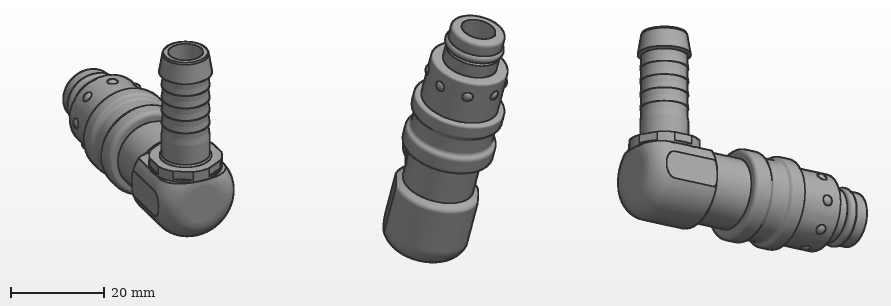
import cadquery as cq
import math

bore_dia = 7.5
nose_dia = 11.95
nose_round = 0.85
groove_dia = 9.0
groove_start = 3.0
groove_end = 5.45
sleeve_dia = 16.95
sleeve_start = 8.5
sleeve_round = 0.55
rib_dia = 20.0
neck_dia = 18.0
rib_round = 0.55
front_rib_start = 18.5
front_rib_land_end = 21.2
neck_start = 22.95
neck_end = 25.95
rear_rib_land_start = 27.7
rear_rib_end = 31.1
rear_rib_round = 1.0
shank_dia = 15.6

ring_section_dia = 1.95

ball_count = 8
ball_x = 12.05
ball_radius = 1.45
ball_height = 0.5
ball_turn = -2.0

elbow_start = 39.75
elbow_end = 56.3
elbow_radius = 9.5
elbow_width = 18.0
elbow_top = 5.65
elbow_end_round = 5.05
elbow_cone_length = 0.75
elbow_lead_length = 1.5
bore_end = elbow_start
floor_wall = 0.55
drill_point_angle = 118.0

tail_x = 48.25
overall_height = 43.2
tail_top = overall_height - rib_dia / 2
collar_dia = 15.7
collar_height = 2.5
hex_across_flats = 15.1
collar_rim_height = 0.55
hex_start = elbow_top + collar_rim_height
stem_dia = 10.4
stem_flare = 0.4
barb_dia = 10.0
barb_pitch = 3.05
barb_count = 5
first_barb_edge = 25.2
head_dia = 11.5
head_edge = 28.45
head_bottom = 28.05
tip_chamfer = 0.4
tip_chamfer_depth = 0.2


def rounded_step(profile, x_start, r_start, x_end, r_end):
    """Join two cylinder radii by an S of two equal arcs, tangent to both cylinders."""
    middle = ((x_start + x_end) / 2, (r_start + r_end) / 2)
    return profile.tangentArcPoint(middle, relative=False).tangentArcPoint((x_end, r_end), relative=False)


def make_coupling():
    nose_r = nose_dia / 2
    sleeve_r = sleeve_dia / 2
    rib_r = rib_dia / 2
    neck_r = neck_dia / 2
    profile = (
        cq.Workplane("XY")
        .lineTo(0, nose_r - nose_round)
        .radiusArc((nose_round, nose_r), nose_round)
        .lineTo(groove_start, nose_r)
        .lineTo(groove_start, groove_dia / 2)
        .lineTo(groove_end, groove_dia / 2)
        .lineTo(groove_end, nose_r)
        .lineTo(sleeve_start, nose_r)
        .lineTo(sleeve_start, sleeve_r - sleeve_round)
        .radiusArc((sleeve_start + sleeve_round, sleeve_r), sleeve_round)
        .lineTo(front_rib_start, sleeve_r)
        .lineTo(front_rib_start, rib_r - rib_round)
        .radiusArc((front_rib_start + rib_round, rib_r), rib_round)
        .lineTo(front_rib_land_end, rib_r)
    )
    profile = rounded_step(profile, front_rib_land_end, rib_r, neck_start, neck_r)
    profile = profile.lineTo(neck_end, neck_r)
    profile = rounded_step(profile, neck_end, neck_r, rear_rib_land_start, rib_r)
    return (
        profile
        .lineTo(rear_rib_end - rear_rib_round, rib_r)
        .radiusArc((rear_rib_end, rib_r - rear_rib_round), rear_rib_round)
        .lineTo(rear_rib_end, shank_dia / 2)
        .lineTo(elbow_start, shank_dia / 2)
        .lineTo(elbow_start, 0)
        .close()
        .revolve(360, (0, 0, 0), (1, 0, 0))
    )


def make_balls():
    centre_radius = sleeve_dia / 2 + ball_height - ball_radius
    balls = cq.Workplane("XY")
    for i in range(ball_count):
        angle = math.radians(ball_turn + 360 * i / ball_count)
        centre = (ball_x, centre_radius * math.cos(angle), centre_radius * math.sin(angle))
        balls = balls.union(cq.Workplane("XY").sphere(ball_radius).translate(centre))
    return balls


def make_elbow():
    """Round block with a domed end, flattened on both sides and on top."""
    block = (
        cq.Workplane("XY")
        .moveTo(elbow_start, 0)
        .lineTo(elbow_start, shank_dia / 2)
        .lineTo(elbow_start + elbow_cone_length, elbow_width / 2)
        .tangentArcPoint((elbow_start + elbow_lead_length, elbow_radius), relative=False)
        .lineTo(elbow_end - elbow_end_round, elbow_radius)
        .radiusArc((elbow_end, elbow_radius - elbow_end_round), elbow_end_round)
        .lineTo(elbow_end, 0)
        .close()
        .revolve(360, (0, 0, 0), (1, 0, 0))
    )
    envelope = (
        cq.Workplane("XY", origin=(0, 0, -elbow_radius))
        .rect(2 * elbow_end, elbow_width)
        .extrude(elbow_radius + elbow_top)
    )
    return block.intersect(envelope)


def make_collar():
    """Round collar whose upper part carries six flats."""
    collar = cq.Workplane("XY", origin=(tail_x, 0, elbow_top)).circle(collar_dia / 2).extrude(collar_height)
    hex_height = elbow_top + collar_height - hex_start
    hex_corners_dia = hex_across_flats / math.cos(math.pi / 6)
    flats = (
        cq.Workplane("XY", origin=(tail_x, 0, hex_start))
        .circle(collar_dia)
        .polygon(6, hex_corners_dia)
        .extrude(hex_height)
    )
    return collar.cut(flats)


def make_tail():
    """Barbed stem with a tapered head, turned about the vertical tail axis."""
    stem_r = stem_dia / 2
    barb_r = barb_dia / 2
    collar_top = elbow_top + collar_height
    profile = (
        cq.Workplane("XZ", origin=(tail_x, 0, 0))
        .moveTo(0, elbow_top)
        .lineTo(stem_r + stem_flare, elbow_top)
        .lineTo(stem_r + stem_flare, collar_top)
        .lineTo(stem_r, collar_top + stem_flare)
    )
    for i in reversed(range(barb_count)):
        edge = first_barb_edge - i * barb_pitch
        profile = profile.lineTo(stem_r, edge).lineTo(barb_r, edge + barb_pitch / 2)
        if i > 0:
            profile = profile.lineTo(barb_r, edge + barb_pitch)
    return (
        profile
        .lineTo(barb_r, head_bottom)
        .lineTo(head_dia / 2, head_edge)
        .lineTo(barb_r, tail_top - tip_chamfer)
        .lineTo(barb_r - tip_chamfer_depth, tail_top)
        .lineTo(0, tail_top)
        .close()
        .revolve(360, (0, 0, 0), (0, 1, 0))
    )


def make_long_bore():
    """Blind bore along X with a drill-point end, stopping short of the tail bore."""
    bore_r = bore_dia / 2
    point_length = bore_r / math.tan(math.radians(drill_point_angle / 2))
    return (
        cq.Workplane("XY")
        .lineTo(0, bore_r)
        .lineTo(bore_end, bore_r)
        .lineTo(bore_end + point_length, 0)
        .close()
        .revolve(360, (0, 0, 0), (1, 0, 0))
    )


def make_tail_bore():
    """Bore down the hose tail, its floor a thin even wall inside the elbow's round underside."""
    bore_r = bore_dia / 2
    floor_radius = elbow_radius - floor_wall
    floor_round = elbow_end_round - floor_wall
    floor_end = elbow_end - floor_wall
    floor_shape = (
        cq.Workplane("XY")
        .moveTo(elbow_start, 0)
        .lineTo(elbow_start, floor_radius)
        .lineTo(floor_end - floor_round, floor_radius)
        .radiusArc((floor_end, floor_radius - floor_round), floor_round)
        .lineTo(floor_end, 0)
        .close()
        .revolve(360, (0, 0, 0), (1, 0, 0))
    )
    upper = cq.Workplane("XY", origin=(tail_x, 0, 0)).circle(bore_r).extrude(tail_top)
    lower = cq.Workplane("XY", origin=(tail_x, 0, 0)).circle(bore_r).extrude(-elbow_radius)
    return upper.union(lower.intersect(floor_shape))


def make_o_ring():
    section_r = ring_section_dia / 2
    return (
        cq.Workplane("XY")
        .center(groove_start + section_r, groove_dia / 2 + section_r)
        .circle(section_r)
        .revolve(360, (0, -groove_dia / 2 - section_r, 0), (1, -groove_dia / 2 - section_r, 0))
    )


fitting = (
    make_coupling()
    .union(make_balls())
    .union(make_elbow())
    .union(make_collar())
    .union(make_tail())
    .cut(make_long_bore())
    .cut(make_tail_bore())
)
o_ring = make_o_ring()

result = cq.Compound.makeCompound([fitting.solids().val(), o_ring.val()])